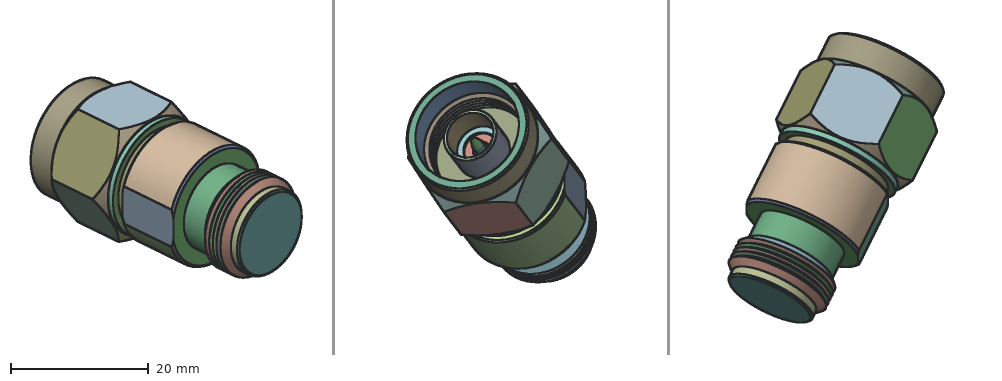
import cadquery as cq
import math

length = 39.82

nut_radius = 9.3
nut_length = 16.92
nut_edge_chamfer = 0.28
hex_across_flats = 19.0
hex_start = 4.55
hex_end = 15.95
hex_chamfer_radius = 9.4

bore_radius = 7.9
bore_depth = 4.15
inner_crest_radius = 7.2
inner_thread_pitch = 0.85
inner_groove_count = 4
inner_flank_angle = 60

tube_radius = 4.02
tube_start = 1.45
tube_bore_radius = 3.55
tube_bore_end = 6.37
step_radius = 2.6
step_depth = 0.4
socket_radius = 1.27
socket_depth = 0.4
pin_radius = 0.85
pin_start = 2.23
pin_tip_radius = 0.25
pin_cone_length = 2.8

neck_radius = 8.2
body_radius = hex_across_flats / 2
body_start = 18.5
body_end = 28.8
body_front_chamfer = 0.28
body_rear_chamfer = 0.35
body_flat_offset = 8.95

barrel_radius = 6.75
barrel_edge_chamfer = 0.28
thread_start = 33.05
thread_pitch = 0.7
thread_crest_radius = 7.85
thread_root_radius = 7.3
thread_groove_count = 4
end_crest_half_width = 0.48


def revolve_profile(points):
    """Turn a closed outline of (x, radius) points about the X axis."""
    return cq.Workplane("XY").polyline(points).close().revolve(360, (0, 0, 0), (1, 0, 0))


def cylinder(radius, start, end):
    return cq.Workplane("YZ", origin=(start, 0, 0)).circle(radius).extrude(end - start)


def make_nut_hexagon():
    """Hexagon with corners on the Y axis and 45 degree chamfers at both ends."""
    across_corners = hex_across_flats / math.cos(math.pi / 6)
    corner_radius = across_corners / 2
    hexagon = cq.Workplane("YZ", origin=(hex_start, 0, 0)).polygon(6, across_corners)
    hexagon = hexagon.extrude(hex_end - hex_start)
    chamfer = corner_radius - hex_chamfer_radius
    envelope = cylinder(corner_radius, hex_start, hex_end).edges().chamfer(chamfer)
    return hexagon.intersect(envelope)


def make_nut():
    ring = cylinder(nut_radius, 0, nut_length).faces("<X").edges().chamfer(nut_edge_chamfer)
    return ring.union(make_nut_hexagon())


def make_nut_cavity():
    """Solid to remove (plain entry, lead-in cone, V grooves) and the X of its floor."""
    flank = (bore_radius - inner_crest_radius) / math.tan(math.radians(inner_flank_angle))
    x = bore_depth + flank
    points = [(0, 0), (0, bore_radius), (bore_depth, bore_radius), (x, inner_crest_radius)]
    for _ in range(inner_groove_count):
        points.append((x + inner_thread_pitch / 2, bore_radius))
        x += inner_thread_pitch
        points.append((x, inner_crest_radius))
    points.append((x, 0))
    return revolve_profile(points), x


def make_plug(floor):
    tube = cylinder(tube_radius, tube_start, floor)
    step_end = tube_bore_end + step_depth
    socket_end = step_end + socket_depth
    tube = tube.cut(cylinder(tube_bore_radius, tube_start, tube_bore_end))
    tube = tube.cut(cylinder(step_radius, tube_bore_end, step_end))
    tube = tube.cut(cylinder(socket_radius, step_end, socket_end))
    pin = revolve_profile([
        (pin_start, 0),
        (pin_start, pin_tip_radius),
        (pin_start + pin_cone_length, pin_radius),
        (socket_end, pin_radius),
        (socket_end, 0),
    ])
    return tube.union(pin)


def make_body():
    body = cylinder(body_radius, body_start, body_end)
    body = body.faces("<X").edges().chamfer(body_front_chamfer)
    body = body.faces(">X").edges().chamfer(body_rear_chamfer)
    flats = cq.Workplane("XY").box(2 * length, 2 * body_flat_offset, 2 * body_radius)
    return body.intersect(flats)


def make_jack():
    """Barrel with a V-thread whose end flanks run down to the barrel at 45 degrees."""
    flank = thread_crest_radius - barrel_radius
    first_crest = thread_start + flank
    points = [
        (body_end, 0),
        (body_end, barrel_radius),
        (thread_start, barrel_radius),
        (first_crest, thread_crest_radius),
    ]
    root = first_crest + end_crest_half_width
    for i in range(thread_groove_count):
        if i > 0:
            points.append((root - thread_pitch / 2, thread_crest_radius))
        points.append((root, thread_root_radius))
        root += thread_pitch
    last_crest = root - thread_pitch + end_crest_half_width
    points += [
        (last_crest, thread_crest_radius),
        (last_crest + flank, barrel_radius),
        (length - barrel_edge_chamfer, barrel_radius),
        (length, barrel_radius - barrel_edge_chamfer),
        (length, 0),
    ]
    return revolve_profile(points)


cavity, cavity_floor = make_nut_cavity()
result = make_nut().cut(cavity).union(make_plug(cavity_floor))
result = result.union(cylinder(neck_radius, nut_length, body_start))
result = result.union(make_body()).union(make_jack())